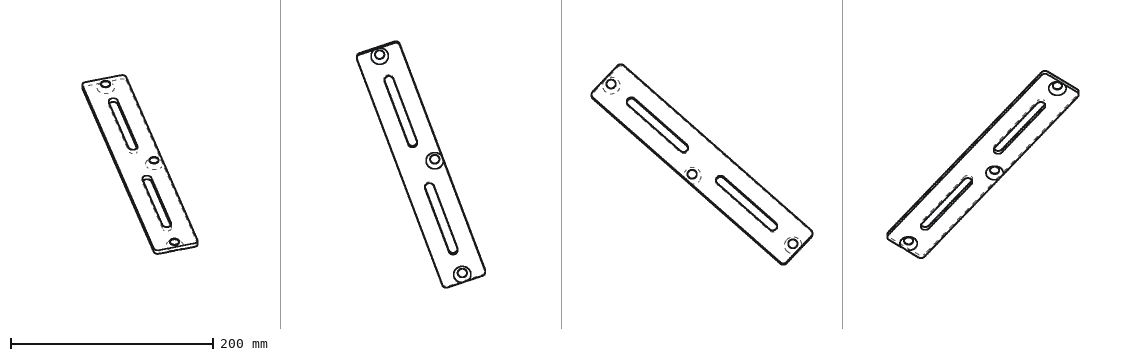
import cadquery as cq

length = 260.0
width = 45.0
thickness = 5.0
corner_radius = 4.2

hole_diameter = 9.0
countersink_diameter = 17.2
countersink_angle = 90.0
hole_edge_distance = 8.0

slot_length = 79.0
slot_width = 9.0
slot_center_x = 59.8

end_hole_x = length / 2 - hole_edge_distance
middle_hole_y = width / 2 - hole_edge_distance
hole_positions = [(-end_hole_x, 0), (end_hole_x, 0), (0, middle_hole_y)]
slot_positions = [(-slot_center_x, 0), (slot_center_x, 0)]


def make_plate():
    """Flat bar with rounded corners, resting on Z = 0."""
    bar = cq.Workplane("XY").box(length, width, thickness, centered=(True, True, False))
    return bar.edges("|Z").fillet(corner_radius)


def cut_slots(body):
    """Cut the two lengthwise slots through the plate."""
    slots = cq.Workplane("XY").pushPoints(slot_positions).slot2D(slot_length, slot_width)
    return body.cut(slots.extrude(thickness))


def cut_screw_holes(body):
    """The end countersinks are wide enough to break through the end faces."""
    underside_points = [(x, -y) for x, y in hole_positions]
    underside = body.faces("<Z").workplane(origin=(0, 0, 0)).pushPoints(underside_points)
    return underside.cskHole(hole_diameter, countersink_diameter, countersink_angle)


result = cut_screw_holes(cut_slots(make_plate()))